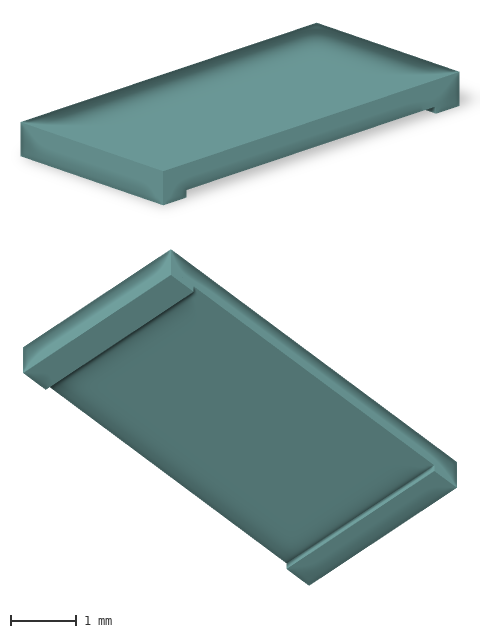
import cadquery as cq

width = 3.1
length = 6.35
height = 0.55

terminal_reach = 0.5
terminal_thickness = 0.12

core_length = length - 2 * terminal_thickness
core_height = height - 2 * terminal_thickness

cover_length = length - 2 * terminal_reach


def make_block(block_length, block_height, bottom):
    """Full-width block centred in X and Y, standing on the given Z level."""
    return (
        cq.Workplane("XY")
        .workplane(offset=bottom)
        .box(width, block_length, block_height, centered=(True, True, False))
    )


def make_terminal(end):
    """C-shaped terminal open toward the middle; end is -1 or 1 along Y."""
    outer_y = end * length / 2
    inner_y = end * core_length / 2
    tip_y = end * (length / 2 - terminal_reach)
    core_top = terminal_thickness + core_height
    return (
        cq.Workplane("YZ")
        .polyline([
            (outer_y, 0),
            (outer_y, height),
            (tip_y, height),
            (tip_y, core_top),
            (inner_y, core_top),
            (inner_y, terminal_thickness),
            (tip_y, terminal_thickness),
            (tip_y, 0),
        ])
        .close()
        .extrude(width / 2, both=True)
    )


core = make_block(core_length, core_height, terminal_thickness)
cover = make_block(cover_length, terminal_thickness, terminal_thickness + core_height)
terminals = [make_terminal(end) for end in (-1, 1)]

result = cq.Compound.makeCompound([
    core.val(),
    cover.val(),
    *[terminal.val() for terminal in terminals],
])